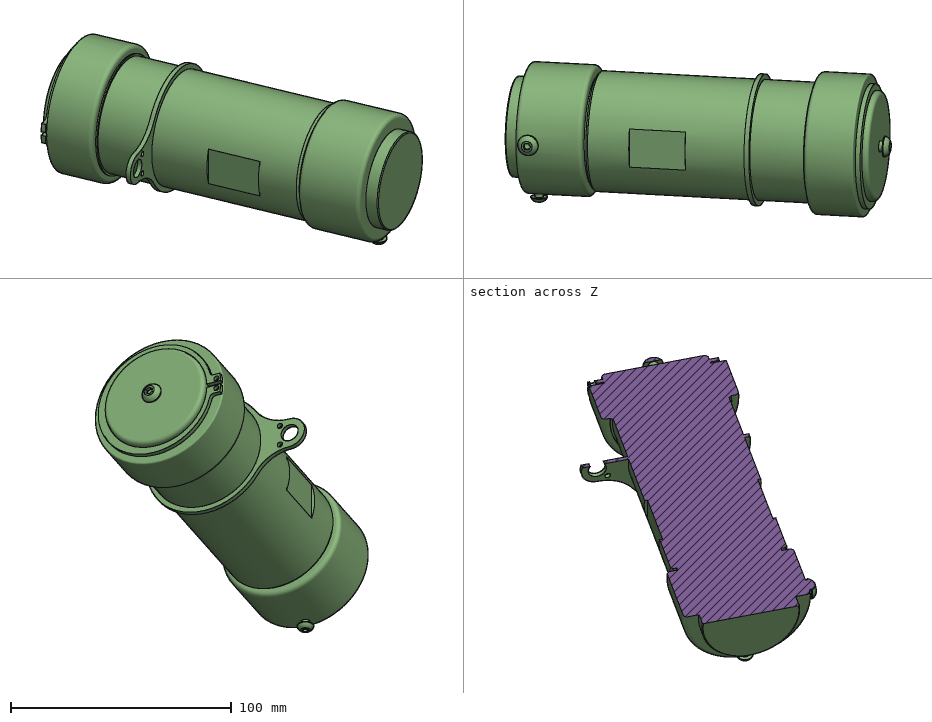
import cadquery as cq
import math

TOTAL_LENGTH = 173.65

DISC_FRONT = 4.85
RING_FRONT = 7.85
RING_THICKNESS = 2.2
FRONT_CAP_START = 10.5
FRONT_CAP_END = 33.6
BODY_END = 135.5
REAR_CAP_START = 136.6
REAR_CAP_END = 167.5
FLANGE_START = 59.3
FLANGE_THICKNESS = 2.2

DISC_DIAMETER = 50.5
FRONT_CAP_DIAMETER = 65.0
COLLAR_DIAMETER = 57.0
BODY_DIAMETER = 55.0
NECK_DIAMETER = 49.5
REAR_CAP_DIAMETER = 60.0
REAR_SPIGOT_DIAMETER = 46.0

DISC_FILLET = 1.95
CAP_FILLET = 2.0
FRONT_CAP_LIP_FILLET = 0.7
BODY_CHAMFER = 1.0
SPIGOT_CHAMFER = 0.5

COLLAR_LENGTH = 0.7

FLAT_START = 89.4
FLAT_LENGTH = 26.0
FLAT_DISTANCE = 26.0

FLANGE_DIAMETER = 60.0
LUG_RADIUS = 7.5
LUG_HOLE_Y = -42.0
LUG_HOLE_DIAMETER = 8.5
LUG_BLEND_RADIUS = 20.0
WIRE_HOLE_Y = -37.1
WIRE_HOLE_Z = 5.06
WIRE_HOLE_DIAMETER = 2.5

RING_DIAMETER = 57.0
RING_OFFSET_Y = 1.0
EAR_OUTER_RADIUS = 32.2
EAR_HALF_WIDTH = 5.0
EAR_FILLET = 2.0
EAR_HOLE_Y = -30.05
EAR_HOLE_Z = 2.63
EAR_HOLE_DIAMETER = 2.49
RING_GAP = 1.8

M5_SCREW = (9.5, 2.75, 5.0, 3.0)
M4_SCREW = (7.6, 2.2, 4.0, 2.5)
HEAD_RIM_SHARE = 0.15
HEAD_TOP_SHARE = 0.53
DOME_BULGE_SHARE = 0.1
DOME_MIDDLE_SHARE = 0.4
SOCKET_DEPTH_SHARE = 0.55
SOCKET_POINT_ANGLE = 118.0
SHANK_BURIED_LENGTH = 3.0

SIDE_SCREW_X = 161.4
SIDE_SCREW_TIP = 33.35
SIDE_BOSS_DIAMETER = 8.5
BOTTOM_SCREW_X = 162.6
BOTTOM_SCREW_TIP = 34.46


def station(x):
    """Sketch plane facing +X at a station, with Y and Z as sketch axes."""
    return cq.Workplane("YZ", origin=(x, 0, 0))


def cylinder(start, end, diameter):
    """Cylinder on the X axis between two stations."""
    return station(start).circle(diameter / 2).extrude(end - start)


def holes_through(start, thickness, centres, diameter):
    """Round cutters along X at the given Y and Z centres."""
    return station(start).pushPoints(centres).circle(diameter / 2).extrude(thickness)


def make_housing():
    disc = cylinder(DISC_FRONT, FRONT_CAP_START, DISC_DIAMETER).faces("<X").edges().fillet(DISC_FILLET)
    front_cap = cylinder(FRONT_CAP_START, FRONT_CAP_END, FRONT_CAP_DIAMETER)
    front_cap = front_cap.faces(">X").edges().fillet(CAP_FILLET)
    front_cap = front_cap.faces("<X").edges().fillet(FRONT_CAP_LIP_FILLET)
    collar = cylinder(FRONT_CAP_END, FRONT_CAP_END + COLLAR_LENGTH, COLLAR_DIAMETER)
    body = cylinder(FRONT_CAP_END, BODY_END, BODY_DIAMETER).faces(">X").edges().chamfer(BODY_CHAMFER)
    neck = cylinder(BODY_END, REAR_CAP_START, NECK_DIAMETER)
    rear_cap = cylinder(REAR_CAP_START, REAR_CAP_END, REAR_CAP_DIAMETER).edges().fillet(CAP_FILLET)
    spigot = cylinder(REAR_CAP_END, TOTAL_LENGTH, REAR_SPIGOT_DIAMETER)
    spigot = spigot.faces(">X").edges().chamfer(SPIGOT_CHAMFER)
    housing = disc
    for section in (front_cap, collar, cut_flats(body), neck, rear_cap, spigot):
        housing = housing.union(section)
    return housing


def cut_flats(body):
    for side in (1, -1):
        block = cq.Workplane("XY").box(FLAT_LENGTH, BODY_DIAMETER, BODY_DIAMETER)
        block_y = side * (FLAT_DISTANCE + BODY_DIAMETER / 2)
        body = body.cut(block.translate((FLAT_START + FLAT_LENGTH / 2, block_y, 0)))
    return body


def make_flange():
    """Round flange whose rim runs through concave arcs into the lug."""
    rim = FLANGE_DIAMETER / 2
    to_rim = rim + LUG_BLEND_RADIUS
    to_lug = LUG_RADIUS + LUG_BLEND_RADIUS
    blend_y = (to_rim**2 - to_lug**2 + LUG_HOLE_Y**2) / (2 * LUG_HOLE_Y)
    blend_z = math.sqrt(to_rim**2 - blend_y**2)
    rim_angle = math.atan2(-blend_z, -blend_y)
    lug_angle = math.atan2(-blend_z, LUG_HOLE_Y - blend_y)

    def blend_point(angle):
        return (
            blend_y + LUG_BLEND_RADIUS * math.cos(angle),
            blend_z + LUG_BLEND_RADIUS * math.sin(angle),
        )

    rim_y, rim_z = blend_point(rim_angle)
    lug_y, lug_z = blend_point(lug_angle)
    mid_y, mid_z = blend_point((rim_angle + lug_angle) / 2)

    outline = (
        station(FLANGE_START)
        .moveTo(rim_y, rim_z)
        .threePointArc((rim, 0), (rim_y, -rim_z))
        .threePointArc((mid_y, -mid_z), (lug_y, -lug_z))
        .threePointArc((LUG_HOLE_Y - LUG_RADIUS, 0), (lug_y, lug_z))
        .threePointArc((mid_y, mid_z), (rim_y, rim_z))
        .close()
    )
    flange = outline.extrude(FLANGE_THICKNESS)
    rope_hole = holes_through(FLANGE_START, FLANGE_THICKNESS, [(LUG_HOLE_Y, 0)], LUG_HOLE_DIAMETER)
    wire_centres = [(WIRE_HOLE_Y, WIRE_HOLE_Z), (WIRE_HOLE_Y, -WIRE_HOLE_Z)]
    wire_holes = holes_through(FLANGE_START, FLANGE_THICKNESS, wire_centres, WIRE_HOLE_DIAMETER)
    return flange.cut(rope_hole).cut(wire_holes)


def make_retaining_ring():
    ring_radius = RING_DIAMETER / 2
    ring = station(RING_FRONT).center(RING_OFFSET_Y, 0).circle(ring_radius).extrude(RING_THICKNESS)
    ears = (
        station(RING_FRONT)
        .center(-EAR_OUTER_RADIUS / 2, 0)
        .rect(EAR_OUTER_RADIUS, 2 * EAR_HALF_WIDTH)
        .extrude(RING_THICKNESS)
    )
    ears = ears.intersect(cylinder(RING_FRONT, RING_FRONT + RING_THICKNESS, 2 * EAR_OUTER_RADIUS))
    ring = ring.union(ears)

    root_y = RING_OFFSET_Y - math.sqrt(ring_radius**2 - EAR_HALF_WIDTH**2)
    for side in (1, -1):
        root = (RING_FRONT + RING_THICKNESS / 2, root_y, side * EAR_HALF_WIDTH)
        ring = ring.edges(cq.NearestToPointSelector(root)).fillet(EAR_FILLET)

    ear_centres = [(EAR_HOLE_Y, EAR_HOLE_Z), (EAR_HOLE_Y, -EAR_HOLE_Z)]
    ear_holes = holes_through(RING_FRONT, RING_THICKNESS, ear_centres, EAR_HOLE_DIAMETER)
    gap = (
        station(RING_FRONT)
        .center(-EAR_OUTER_RADIUS, 0)
        .rect(EAR_OUTER_RADIUS, RING_GAP)
        .extrude(RING_THICKNESS)
    )
    return ring.cut(ear_holes).cut(gap)


def make_screw(sizes, shank_length):
    """Button-head screw along Z with the top of its head at the origin, shank toward -Z."""
    head_diameter, head_height, shank_diameter, socket_size = sizes
    head_radius = head_diameter / 2
    top_radius = head_radius * HEAD_TOP_SHARE
    rim_z = -head_height * (1 - HEAD_RIM_SHARE)
    dome_radius = (head_radius + top_radius) / 2 + DOME_BULGE_SHARE * head_height
    dome_middle = (dome_radius, DOME_MIDDLE_SHARE * rim_z)
    profile = (
        cq.Workplane("XZ")
        .lineTo(top_radius, 0)
        .threePointArc(dome_middle, (head_radius, rim_z))
        .lineTo(head_radius, -head_height)
        .lineTo(shank_diameter / 2, -head_height)
        .lineTo(shank_diameter / 2, -head_height - shank_length)
        .lineTo(0, -head_height - shank_length)
        .close()
    )
    screw = profile.revolve(360, (0, 0, 0), (0, 1, 0))
    depth = head_height * SOCKET_DEPTH_SHARE
    socket_corners = socket_size / math.cos(math.pi / 6)
    socket = cq.Workplane("XY").polygon(6, socket_corners).extrude(-depth)
    point_radius = socket_size / 2
    point_depth = point_radius / math.tan(math.radians(SOCKET_POINT_ANGLE / 2))
    point = cq.Workplane("XY").add(
        cq.Solid.makeCone(point_radius, 0, point_depth, cq.Vector(0, 0, -depth), cq.Vector(0, 0, -1))
    )
    return screw.cut(socket).cut(point)


def make_front_screw():
    head_height = M5_SCREW[1]
    screw = make_screw(M5_SCREW, DISC_FRONT - head_height + SHANK_BURIED_LENGTH)
    return screw.rotate((0, 0, 0), (0, 1, 0), -90)


def make_side_screw():
    """Screw on the +Y side of the rear cap, seated on a low round boss."""
    buried_y = REAR_CAP_DIAMETER / 2 - SHANK_BURIED_LENGTH
    seat_y = SIDE_SCREW_TIP - M5_SCREW[1]
    screw = make_screw(M5_SCREW, seat_y - buried_y)
    screw = screw.rotate((0, 0, 0), (1, 0, 0), -90).translate((SIDE_SCREW_X, SIDE_SCREW_TIP, 0))
    boss = cq.Workplane("XZ", origin=(SIDE_SCREW_X, seat_y, 0)).circle(SIDE_BOSS_DIAMETER / 2)
    return screw.union(boss.extrude(seat_y - buried_y))


def make_bottom_screw():
    buried_z = REAR_CAP_DIAMETER / 2 - SHANK_BURIED_LENGTH
    screw = make_screw(M4_SCREW, BOTTOM_SCREW_TIP - M4_SCREW[1] - buried_z)
    return screw.rotate((0, 0, 0), (1, 0, 0), 180).translate((BOTTOM_SCREW_X, 0, -BOTTOM_SCREW_TIP))


result = make_housing().union(make_flange()).union(make_retaining_ring())
for screw in (make_front_screw(), make_side_screw(), make_bottom_screw()):
    result = result.union(screw)